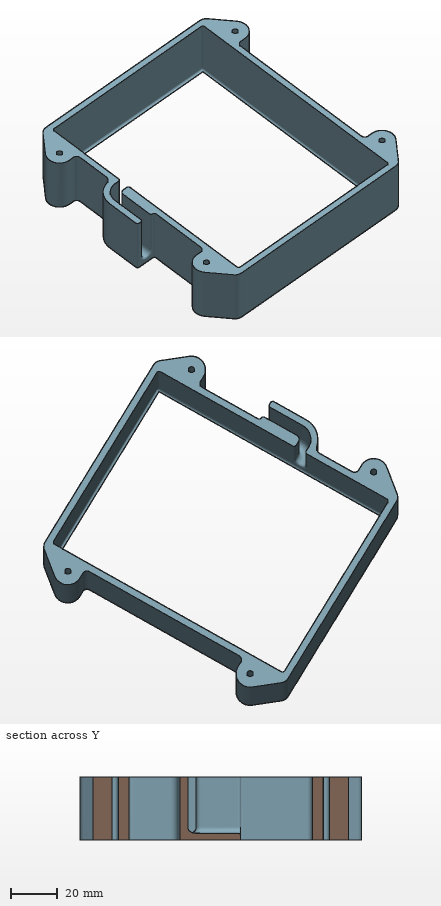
import cadquery as cq
import math

frame_length = 120.0
frame_width = 95.0
height = 27.0
wall = 3.0
lip = 1.0
corner_radius = 4.0

ear_radius = 6.0
ear_hole_diameter = 2.6
ear_x = 45.0
ear_y = 52.0
ear_root_fillet = 2.0

duct_width = 5.0
duct_floor = wall
duct_wall = wall
bend_inner_radius = 2.0
bend_x = -8.5
duct_end_x = 8.5
duct_mouth_fillet = 1.0
duct_root_fillet = 3.0

half_length = frame_length / 2
half_width = frame_width / 2
inner_length = frame_length - 2 * wall
inner_width = frame_width - 2 * wall
inner_face_y = -inner_width / 2
bend_y = -half_width
bend_mid_radius = bend_inner_radius + duct_width / 2
bend_outer_radius = bend_inner_radius + duct_width + duct_wall
cos_45 = math.sqrt(0.5)
tolerance = 0.01


def make_ear():
    """Ear at the +X +Y corner: tangent from the frame corner, round tip, straight inner side."""
    corner_dx = half_length - ear_x
    corner_dy = ear_y - half_width
    corner_distance = math.hypot(corner_dx, corner_dy)
    tangent_angle = math.acos(ear_radius / corner_distance) - math.atan2(corner_dy, corner_dx)
    tangent_x = ear_x + ear_radius * math.cos(tangent_angle)
    tangent_y = ear_y + ear_radius * math.sin(tangent_angle)
    inner_side_x = ear_x - ear_radius
    root_y = half_width - wall / 2
    return (
        cq.Workplane("XY")
        .moveTo(half_length, root_y)
        .lineTo(half_length, half_width)
        .lineTo(tangent_x, tangent_y)
        .threePointArc((ear_x, ear_y + ear_radius), (inner_side_x, ear_y))
        .lineTo(inner_side_x, root_y)
        .close()
        .extrude(height)
    )


def make_ears():
    """The ear mirrored to all four corners."""
    ear = make_ear()
    side_pair = ear.union(ear.mirror("YZ"))
    return side_pair.union(side_pair.mirror("XZ"))


def make_duct_block():
    """Solid block around the channel, quarter round on the -X side."""
    left_x = bend_x - bend_outer_radius
    outer_y = bend_y - bend_outer_radius
    diagonal = bend_outer_radius * cos_45
    return (
        cq.Workplane("XY")
        .moveTo(left_x, inner_face_y)
        .lineTo(left_x, bend_y)
        .threePointArc((bend_x - diagonal, bend_y - diagonal), (bend_x, outer_y))
        .lineTo(duct_end_x, outer_y)
        .lineTo(duct_end_x, inner_face_y)
        .close()
        .extrude(height)
    )


def make_channel():
    """Channel with a half-round bottom, swept from the opening round the bend to the open end."""
    overrun = 1.0
    mid_x = bend_x - bend_mid_radius
    mid_y = bend_y - bend_mid_radius
    start_y = inner_face_y + overrun
    diagonal = bend_mid_radius * cos_45
    path = (
        cq.Workplane("XY")
        .moveTo(mid_x, start_y)
        .lineTo(mid_x, bend_y)
        .threePointArc((bend_x - diagonal, bend_y - diagonal), (bend_x, mid_y))
        .lineTo(duct_end_x + overrun, mid_y)
    )
    half = duct_width / 2
    profile = (
        cq.Workplane("XZ", origin=(mid_x, start_y, 0))
        .moveTo(-half, height + overrun)
        .lineTo(-half, duct_floor + half)
        .threePointArc((0, duct_floor), (half, duct_floor + half))
        .lineTo(half, height + overrun)
        .close()
    )
    return profile.sweep(path)


def make_mouth_root():
    """Concave quarter round between the open end of the duct and the front wall."""
    radius = duct_mouth_fillet
    overlap = wall / 2
    curve_x = duct_end_x + radius
    curve_y = -half_width - radius
    diagonal = radius * cos_45
    return (
        cq.Workplane("XY")
        .moveTo(duct_end_x, curve_y)
        .threePointArc((curve_x - diagonal, curve_y + diagonal), (curve_x, -half_width))
        .lineTo(curve_x, -half_width + overlap)
        .lineTo(duct_end_x - overlap, -half_width + overlap)
        .lineTo(duct_end_x - overlap, curve_y)
        .close()
        .extrude(height)
    )


def make_opening():
    """Frame opening with rounded corners, curving inwards at the base to leave the lip."""
    block = cq.Workplane("XY").box(inner_length, inner_width, height + lip, centered=(True, True, False))
    return block.edges("|Z or <Z").fillet(lip)


def vertical_edges_at(body, points):
    """Full-height vertical edges of the body that stand on the given XY points."""
    def stands_on_point(edge):
        centre = edge.Center()
        return any(math.hypot(centre.x - x, centre.y - y) < tolerance for x, y in points)

    edges = [edge for edge in body.edges("|Z").vals() if stands_on_point(edge)]
    return body.newObject(edges)


def mirrored_points(x, y):
    """The point (x, y) in all four quadrants."""
    return [(sx * x, sy * y) for sx in (-1, 1) for sy in (-1, 1)]


def mouth_edges(body, x_range, y_range):
    """Edges inside the given XY ranges, leaving out the level ones along the top and the base."""
    low = (x_range[0] - tolerance, y_range[0] - tolerance, -tolerance)
    high = (x_range[1] + tolerance, y_range[1] + tolerance, height + tolerance)
    inside = body.edges(cq.selectors.BoxSelector(low, high, boundingbox=True))
    return inside.edges("not #Z")


frame = cq.Workplane("XY").rect(frame_length, frame_width).extrude(height)
body = frame.union(make_ears()).union(make_duct_block()).clean()

body = vertical_edges_at(body, mirrored_points(half_length, half_width)).fillet(corner_radius)
body = vertical_edges_at(body, mirrored_points(ear_x - ear_radius, half_width)).fillet(ear_root_fillet)
body = vertical_edges_at(body, [(bend_x - bend_outer_radius, -half_width)]).fillet(duct_root_fillet)

body = body.cut(make_opening()).cut(make_channel())

outer_y_range = (bend_y - bend_outer_radius, bend_y - bend_inner_radius)
body = mouth_edges(body, (duct_end_x, duct_end_x), outer_y_range).fillet(duct_mouth_fillet)
entry_x_range = (bend_x - bend_outer_radius, bend_x)
body = mouth_edges(body, entry_x_range, (inner_face_y, inner_face_y)).fillet(duct_mouth_fillet)
body = body.union(make_mouth_root())

ear_holes = (
    cq.Workplane("XY")
    .pushPoints(mirrored_points(ear_x, ear_y))
    .circle(ear_hole_diameter / 2)
    .extrude(height)
)
result = body.cut(ear_holes).solids()